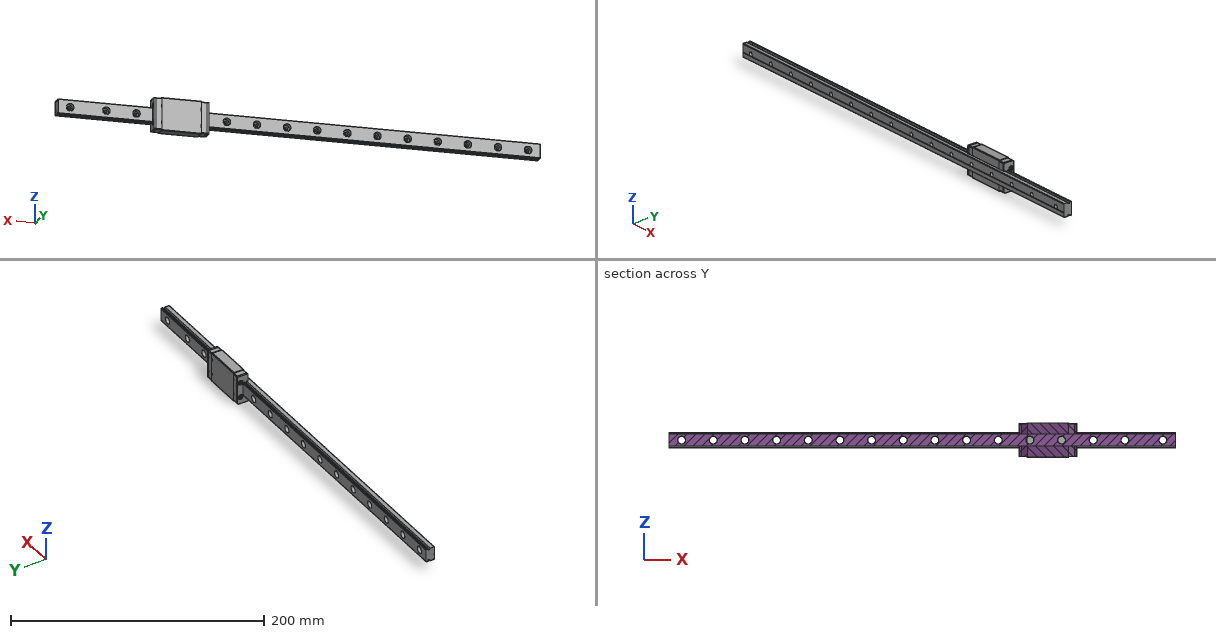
import cadquery as cq


RAIL_LENGTH = 400.0
RAIL_WIDTH = 12.0
RAIL_HEIGHT = 8.0
RAIL_CHAMFER = 0.5

BALL_GROOVE_HEIGHT = 5.0
BALL_GROOVE_MOUTH = 2.0
BALL_GROOVE_FLOOR = 1.0
BALL_GROOVE_DEPTH = 1.0

REFERENCE_GROOVE_WIDTH = 0.5
REFERENCE_GROOVE_DEPTH = 0.2
REFERENCE_GROOVE_Z = -1.8

HOLE_DIAMETER = 3.5
COUNTERBORE_DIAMETER = 6.0
COUNTERBORE_DEPTH = 4.5
HOLE_END_DISTANCE = 10.0
PITCHES_PER_RAIL = 16
HOLE_PITCH = RAIL_LENGTH / PITCHES_PER_RAIL
PITCHED_HOLE_COUNT = PITCHES_PER_RAIL - 1

CARRIAGE_CENTRE_X = 299.0
CARRIAGE_TOP = 13.0
CARRIAGE_BOTTOM = 3.0
CARRIAGE_CHAMFER = 0.6
BLOCK_LENGTH = 33.0
BLOCK_WIDTH = 27.0
CAP_LENGTH = 5.0
CAP_WIDTH = 26.0
SEAL_THICKNESS = 1.5

SCREW_DIAMETER = 4.5
SCREW_LENGTH = CAP_LENGTH + SEAL_THICKNESS
SOCKET_DIAMETER = 2.5
SOCKET_DEPTH = 1.0
SCREW_Y = 10.0
SCREW_Z = 7.0

SIGNS = (-1, 1)


def bar(start_x, length, bottom, top, width, chamfer):
    """Bar along X, centred on Z = 0, with its long edges chamfered."""
    height = top - bottom
    centre = (start_x + length / 2, bottom + height / 2, 0)
    return cq.Workplane("XY").box(length, height, width).translate(centre).edges("|X").chamfer(chamfer)


def ball_groove(side):
    flank_z = side * RAIL_WIDTH / 2
    floor_z = side * (RAIL_WIDTH / 2 - BALL_GROOVE_DEPTH)
    outline = [
        (BALL_GROOVE_HEIGHT - BALL_GROOVE_MOUTH / 2, flank_z),
        (BALL_GROOVE_HEIGHT - BALL_GROOVE_FLOOR / 2, floor_z),
        (BALL_GROOVE_HEIGHT + BALL_GROOVE_FLOOR / 2, floor_z),
        (BALL_GROOVE_HEIGHT + BALL_GROOVE_MOUTH / 2, flank_z),
    ]
    return cq.Workplane("YZ").polyline(outline).close().extrude(RAIL_LENGTH)


def reference_groove():
    centre = (RAIL_LENGTH / 2, REFERENCE_GROOVE_DEPTH / 2, REFERENCE_GROOVE_Z)
    groove = cq.Workplane("XY").box(RAIL_LENGTH, REFERENCE_GROOVE_DEPTH, REFERENCE_GROOVE_WIDTH)
    return groove.translate(centre)


def make_plain_rail():
    """Rail with its grooves but without its mounting holes."""
    rail = bar(0, RAIL_LENGTH, 0, RAIL_HEIGHT, RAIL_WIDTH, RAIL_CHAMFER)
    for side in SIGNS:
        rail = rail.cut(ball_groove(side))
    return rail.cut(reference_groove())


def drill_mounting_holes(rail):
    """Through holes along Y, counterbored from the top of the rail."""
    hole_xs = [HOLE_END_DISTANCE + i * HOLE_PITCH for i in range(PITCHED_HOLE_COUNT)]
    hole_xs.append(RAIL_LENGTH - HOLE_END_DISTANCE)
    top_face = cq.Plane(origin=(0, RAIL_HEIGHT, 0), xDir=(1, 0, 0), normal=(0, 1, 0))
    centres = cq.Workplane(top_face).pushPoints([(x, 0) for x in hole_xs])
    holes = centres.circle(HOLE_DIAMETER / 2).extrude(-RAIL_HEIGHT)
    counterbores = centres.circle(COUNTERBORE_DIAMETER / 2).extrude(-COUNTERBORE_DEPTH)
    return rail.cut(holes).cut(counterbores)


def carriage_piece(centre_x, length, width, plain_rail):
    """Piece of the carriage with a channel that fits the rail."""
    start_x = centre_x - length / 2
    piece = bar(start_x, length, CARRIAGE_BOTTOM, CARRIAGE_TOP, width, CARRIAGE_CHAMFER)
    return piece.cut(plain_rail)


def make_block(plain_rail):
    return carriage_piece(CARRIAGE_CENTRE_X, BLOCK_LENGTH, BLOCK_WIDTH, plain_rail)


def screw_cylinder(diameter, depth, end, side):
    """Cylinder on a screw axis, running inward from the outer face of the seal at that end."""
    end_x = CARRIAGE_CENTRE_X + end * (BLOCK_LENGTH / 2 + CAP_LENGTH + SEAL_THICKNESS)
    start = cq.Vector(end_x, SCREW_Y, side * SCREW_Z)
    inward = cq.Vector(-end, 0, 0)
    return cq.Workplane(cq.Solid.makeCylinder(diameter / 2, depth, start, inward))


def cut_screw_holes(piece, end):
    for side in SIGNS:
        piece = piece.cut(screw_cylinder(SCREW_DIAMETER, SCREW_LENGTH, end, side))
    return piece


def make_end_cap(end, plain_rail):
    centre_x = CARRIAGE_CENTRE_X + end * (BLOCK_LENGTH + CAP_LENGTH) / 2
    return cut_screw_holes(carriage_piece(centre_x, CAP_LENGTH, CAP_WIDTH, plain_rail), end)


def make_end_seal(end, plain_rail):
    centre_x = CARRIAGE_CENTRE_X + end * (BLOCK_LENGTH / 2 + CAP_LENGTH + SEAL_THICKNESS / 2)
    return cut_screw_holes(carriage_piece(centre_x, SEAL_THICKNESS, CAP_WIDTH, plain_rail), end)


def make_screw(end, side):
    """Screw with a round socket in its outer face."""
    screw = screw_cylinder(SCREW_DIAMETER, SCREW_LENGTH, end, side)
    return screw.cut(screw_cylinder(SOCKET_DIAMETER, SOCKET_DEPTH, end, side))


plain_rail = make_plain_rail()
rail = drill_mounting_holes(plain_rail)
block = make_block(plain_rail)
end_caps = [make_end_cap(end, plain_rail).val() for end in SIGNS]
end_seals = [make_end_seal(end, plain_rail).val() for end in SIGNS]
screws = [make_screw(end, side).val() for end in SIGNS for side in SIGNS]

result = cq.Compound.makeCompound([rail.val(), block.val(), *end_caps, *end_seals, *screws])